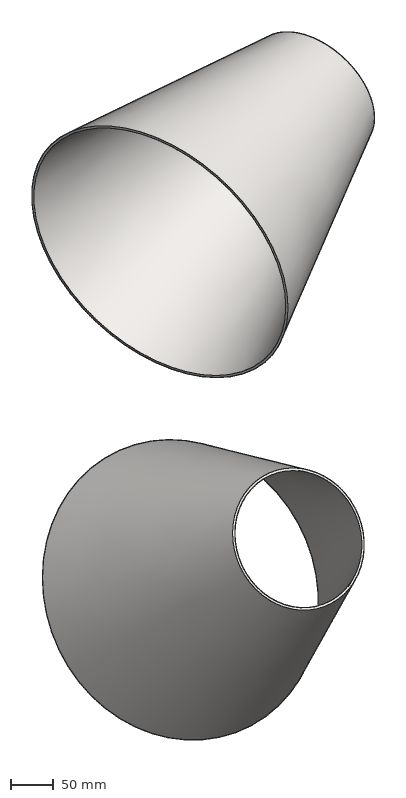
import cadquery as cq
import math

large_diameter = 355.6
small_diameter = 168.3
length = 330.0
wall_thickness = 3.0

large_radius = large_diameter / 2
small_radius = small_diameter / 2
half_angle = math.atan((large_radius - small_radius) / length)
end_face_width = wall_thickness / math.cos(half_angle)


def conical_shell():
    """Revolve the slanted wall section about the Y axis, large end at Y = 0."""
    section = [
        (large_radius - end_face_width, 0),
        (large_radius, 0),
        (small_radius, length),
        (small_radius - end_face_width, length),
    ]
    return cq.Workplane("XY").polyline(section).close().revolve(360, (0, 0, 0), (0, 1, 0))


result = conical_shell()